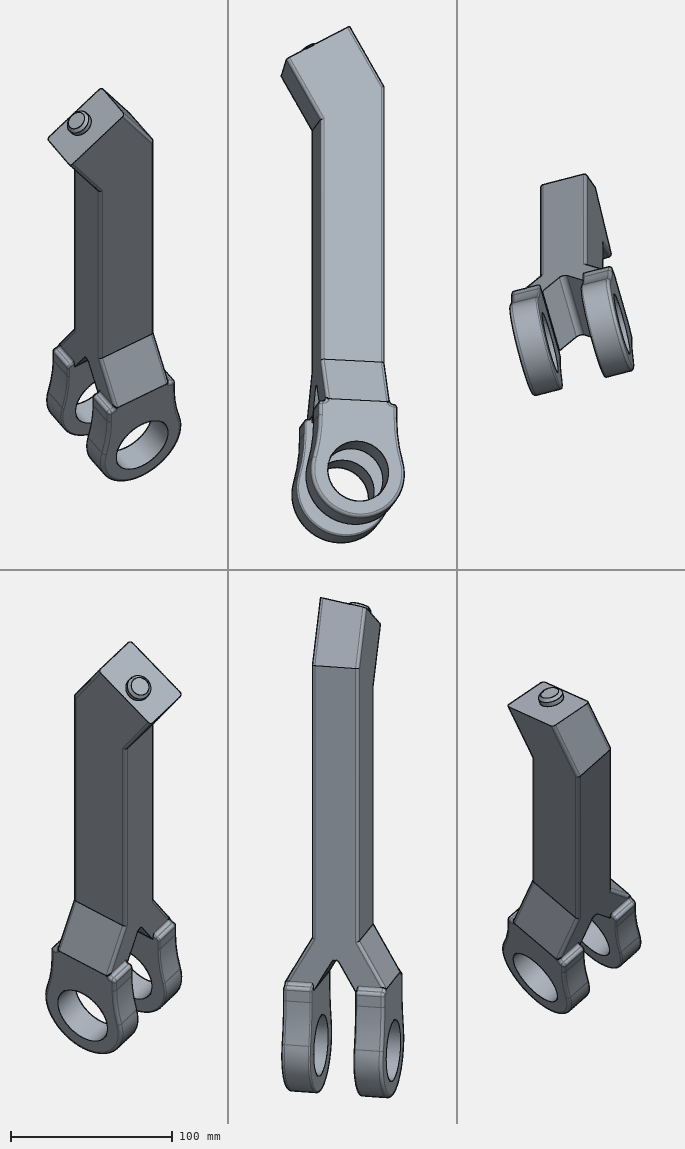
import cadquery as cq
import math

eye_diameter = 59.0
bore_diameter = 38.5
fork_width = 64.5
fork_gap = 27.8
neck_width = 49.5
neck_blend_start = 35.2
shoulder_height = 44.5
shoulder_round = 2.2

stem_width = 30.0
stem_depth = 40.3
leg_angle = math.radians(30)
leg_start = 75.5
crotch_apex = 65.2
crotch_radius = 3.0
edge_round = 2.08
inner_edge_round = 1.0

head_angle = math.radians(30)
bend_height = 241.0
head_length = 41.2
end_skew = math.radians(8.6)
end_cut_spare = 19.2
cutter_size = 128.0

stud_diameter = 15.5
stud_height = 5.0
stud_bevel = 2.0
stud_offset_x = -4.5
stud_offset_y = -1.5

eye_radius = eye_diameter / 2
half_neck = neck_width / 2
half_fork = fork_width / 2
half_gap = fork_gap / 2
half_width = stem_width / 2
half_depth = stem_depth / 2
leg_slope = math.tan(leg_angle)
lean_y = -math.sin(head_angle)
lean_z = math.cos(head_angle)


def faces_outward(face):
    """True for faces turned away from the middle plane X = 0."""
    side = math.copysign(1, face.Center().x)
    return face.normalAt().x * side > math.sin(leg_angle)


def make_head_and_stem():
    """Straight stem and the head leaning toward -Y, with spare length for the end cut."""
    bend_rise = half_depth * math.tan(head_angle)
    reach_y = lean_y * (head_length + end_cut_spare)
    reach_z = lean_z * (head_length + end_cut_spare)
    return (
        cq.Workplane("YZ")
        .polyline([
            (half_depth, leg_start),
            (half_depth, bend_height + bend_rise),
            (half_depth + reach_y, bend_height + bend_rise + reach_z),
            (-half_depth + reach_y, bend_height - bend_rise + reach_z),
            (-half_depth, bend_height - bend_rise),
            (-half_depth, leg_start),
        ])
        .close()
        .extrude(half_width, both=True)
    )


def make_legs():
    """Spreading legs as one solid wedge, ending in short upright feet inside the lugs."""
    leg_end = leg_start - (half_fork - half_width) / leg_slope
    foot_bottom = shoulder_height - shoulder_round
    return (
        cq.Workplane("XZ")
        .polyline([
            (-half_width, leg_start),
            (half_width, leg_start),
            (half_fork, leg_end),
            (half_fork, foot_bottom),
            (-half_fork, foot_bottom),
            (-half_fork, leg_end),
        ])
        .close()
        .extrude(half_depth, both=True)
    )


def make_crotch_cutter():
    """Gap between the legs, with a rounded apex."""
    gap_bottom = -eye_diameter
    slant_bottom = crotch_apex - half_gap / leg_slope
    return (
        cq.Workplane("XZ")
        .polyline([
            (-half_gap, gap_bottom),
            (-half_gap, slant_bottom),
            (0, crotch_apex),
            (half_gap, slant_bottom),
            (half_gap, gap_bottom),
        ])
        .close()
        .extrude(cutter_size / 2, both=True)
        .edges("|Y and >Z")
        .fillet(crotch_radius)
    )


def make_arm():
    """Stem, head and legs with the outer long edges rounded and the crotch cut out."""
    body = make_head_and_stem().union(make_legs())
    outer_faces = [face for face in body.faces().vals() if faces_outward(face)]
    long_edges = body.newObject(outer_faces).edges("not |Y").vals()
    return body.newObject(long_edges).fillet(edge_round).cut(make_crotch_cutter())


def make_lug():
    """The +X lug: round eye, concave neck, rounded shoulders blending up into the leg."""
    neck_radius = (half_neck**2 + neck_blend_start**2 - eye_radius**2) / (2 * (eye_radius - half_neck))
    arc_centre_y = half_neck + neck_radius
    touch_angle = math.atan2(neck_blend_start, arc_centre_y)
    touch_y = eye_radius * math.cos(touch_angle)
    touch_z = eye_radius * math.sin(touch_angle)
    blend_top = shoulder_height + shoulder_round
    corner_bottom = shoulder_height - shoulder_round
    lug = (
        cq.Workplane("YZ")
        .moveTo(-half_depth, blend_top)
        .lineTo(half_depth, blend_top)
        .radiusArc((half_depth + shoulder_round, shoulder_height), -shoulder_round)
        .lineTo(half_neck - shoulder_round, shoulder_height)
        .radiusArc((half_neck, corner_bottom), shoulder_round)
        .lineTo(half_neck, neck_blend_start)
        .radiusArc((touch_y, touch_z), -neck_radius)
        .threePointArc((0, -eye_radius), (-touch_y, touch_z))
        .radiusArc((-half_neck, neck_blend_start), -neck_radius)
        .lineTo(-half_neck, corner_bottom)
        .radiusArc((-half_neck + shoulder_round, shoulder_height), shoulder_round)
        .lineTo(-half_depth - shoulder_round, shoulder_height)
        .radiusArc((-half_depth, blend_top), -shoulder_round)
        .close()
        .extrude(half_fork - half_gap)
        .translate((half_gap, 0, 0))
    )
    lug = lug.faces(">X").edges().fillet(edge_round)
    return lug.faces("<X").edges().fillet(inner_edge_round)


def make_end_plane():
    """Plane of the end face: square to the head, then turned by the skew toward -X."""
    across = math.cos(end_skew)
    tilt = math.sin(end_skew)
    return cq.Plane(
        origin=(0, lean_y * head_length, bend_height + lean_z * head_length),
        xDir=(across, lean_y * tilt, lean_z * tilt),
        normal=(-tilt, lean_y * across, lean_z * across),
    )


def make_stud(end_plane):
    """Short bevelled stud standing on the end face."""
    return (
        cq.Workplane(end_plane)
        .center(stud_offset_x, stud_offset_y)
        .circle(stud_diameter / 2)
        .extrude(stud_height)
        .faces(cq.selectors.DirectionMinMaxSelector(end_plane.zDir))
        .chamfer(stud_bevel)
    )


lug = make_lug()
bore = cq.Workplane("YZ").circle(bore_diameter / 2).extrude(fork_width, both=True)
end_plane = make_end_plane()
end_cutter = cq.Workplane(end_plane).rect(cutter_size, cutter_size).extrude(cutter_size)

result = (
    make_arm()
    .union(lug)
    .union(lug.mirror("YZ"))
    .cut(bore)
    .cut(end_cutter)
    .union(make_stud(end_plane))
)